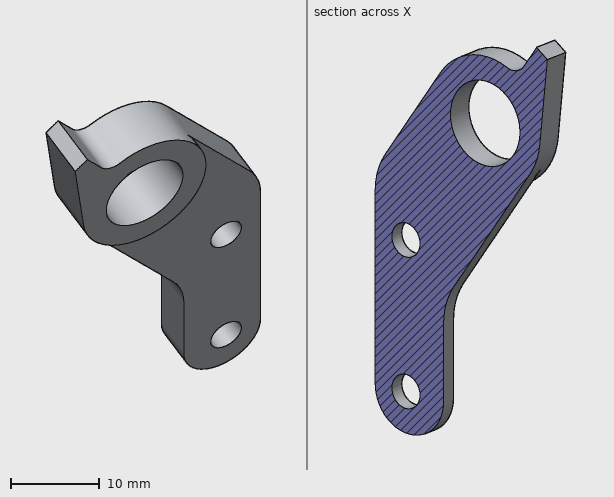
import cadquery as cq
import math

plate_thickness = 5.0
boss_thickness = 6.5

leg_radius = 5.0
screw_hole_radius = 2.0
screw_hole_y = 0.5
screw_hole_heights = (0.0, 18.0)

boss_y = -11.0
boss_z = 34.35
boss_radius = 8.0
boss_hole_radius = 5.0

arm_angle = math.radians(55)
bend_radius = 8.0
tab_reach = 13.0
tab_width = 1.95
tab_root_radius = 2.0

along = (-math.cos(arm_angle), math.sin(arm_angle))
across = (math.sin(arm_angle), math.cos(arm_angle))


def from_boss(distance_along, distance_across):
    """Point in YZ given by its offsets from the boss centre."""
    return (
        boss_y + distance_along * along[0] + distance_across * across[0],
        boss_z + distance_along * along[1] + distance_across * across[1],
    )


def bend_corner(side):
    """Corner where a leg side meets the arm side tangent to the boss."""
    y = side * leg_radius
    z = boss_z + (side * boss_radius - (y - boss_y) * across[0]) / across[1]
    return (y, z)


def disc(center, radius, thickness):
    return cq.Workplane("YZ").center(*center).circle(radius).extrude(thickness)


def make_arm():
    """Bent plate from the leg end up to the boss, with rounded bends."""
    outline = [
        (leg_radius, 0),
        bend_corner(1),
        from_boss(0, boss_radius),
        from_boss(0, -boss_radius),
        bend_corner(-1),
        (-leg_radius, 0),
    ]
    arm = cq.Workplane("YZ").polyline(outline).close().extrude(plate_thickness)
    for side in (1, -1):
        corner = (plate_thickness / 2, *bend_corner(side))
        arm = arm.edges(cq.selectors.NearestToPointSelector(corner)).fillet(bend_radius)
    return arm.union(disc((0, 0), leg_radius, plate_thickness))


def make_boss():
    """Thick disc with a tab: one tab side is radial, the other tangent to the disc."""
    tangent_angle = math.atan2(tab_width, tab_reach) + math.acos(
        boss_radius / math.hypot(tab_reach, tab_width)
    )
    tab_outline = [
        (boss_y, boss_z),
        from_boss(boss_radius * math.cos(tangent_angle), -boss_radius * math.sin(tangent_angle)),
        from_boss(tab_reach, -tab_width),
        from_boss(tab_reach, 0),
    ]
    tab = cq.Workplane("YZ").polyline(tab_outline).close().extrude(boss_thickness)
    boss = disc((boss_y, boss_z), boss_radius, boss_thickness).union(tab)
    tab_root = (boss_thickness / 2, *from_boss(boss_radius, 0))
    return boss.edges(cq.selectors.NearestToPointSelector(tab_root)).fillet(tab_root_radius)


result = make_arm().union(make_boss())
result = result.cut(disc((boss_y, boss_z), boss_hole_radius, boss_thickness))
for height in screw_hole_heights:
    result = result.cut(disc((screw_hole_y, height), screw_hole_radius, plate_thickness))